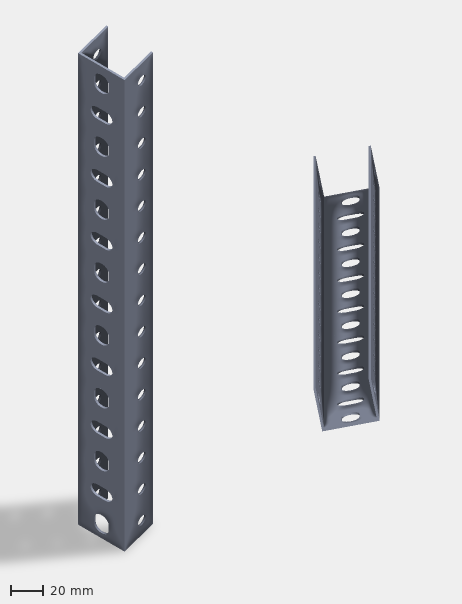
import cadquery as cq

length = 450.0
width = 36.5
depth = 29.0
sheet = 1.5

station_count = 15
pitch = length / station_count
first_station = 13.5

slot_length = 17.0
slot_width = 11.2

flange_hole_diameter = 8.0
flange_hole_from_lip = 11.2

UPRIGHT = 90
CROSSWISE = 0

station_heights = [first_station + i * pitch for i in range(station_count)]


def channel():
    """U-shaped channel: web on the -Y side, open towards +Y."""
    outer = cq.Workplane("XY").rect(width, depth).extrude(length)
    inner = (
        cq.Workplane("XY")
        .center(0, sheet)
        .rect(width - 2 * sheet, depth)
        .extrude(length)
    )
    return outer.cut(inner)


def web_slots(heights, angle):
    """Cutters for slots through the web only."""
    return (
        cq.Workplane("XZ", origin=(0, -depth / 2 + sheet, 0))
        .pushPoints([(0, z) for z in heights])
        .slot2D(slot_length, slot_width, angle)
        .extrude(sheet)
    )


def flange_holes():
    """Cutters that cross both flanges."""
    y = depth / 2 - flange_hole_from_lip
    return (
        cq.Workplane("YZ")
        .pushPoints([(y, z) for z in station_heights])
        .circle(flange_hole_diameter / 2)
        .extrude(width / 2, both=True)
    )


result = (
    channel()
    .cut(web_slots(station_heights[0::2], UPRIGHT))
    .cut(web_slots(station_heights[1::2], CROSSWISE))
    .cut(flange_holes())
)